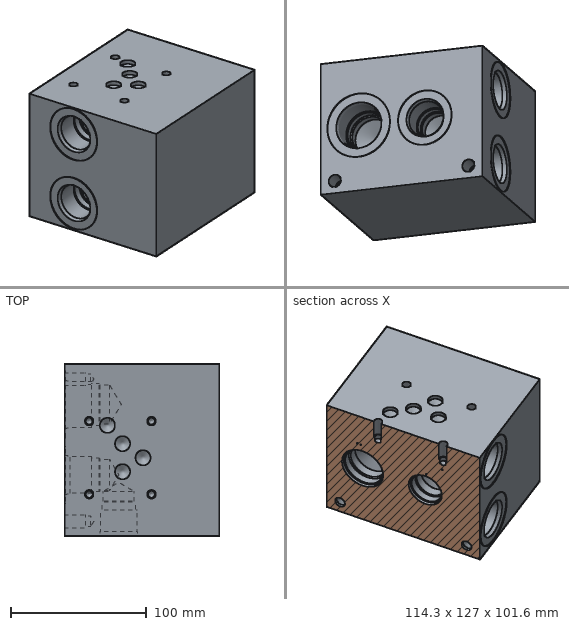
import cadquery as cq
import math

LENGTH_X = 114.3
LENGTH_Y = 127.0
HEIGHT = 101.6
LEFT = -LENGTH_X / 2
FRONT = -LENGTH_Y / 2

DRILL_POINT_ANGLE = 118.0

SPOTFACE_DEPTH = 0.6
SEAT_DEPTH = 3.0
THREAD_DEPTH = 19.5
TAP_DRILL_DEPTH = 25.4
FLOW_DRILL_DEPTH = 33.0
SMALL_PORT = {
    "spotface": 42.0,
    "seat_mouth": 29.2,
    "thread": 27.0,
    "tap_drill": 24.9,
    "flow_drill": 23.0,
}
LARGE_PORT = {
    "spotface": 49.1,
    "seat_mouth": 35.5,
    "thread": 33.8,
    "tap_drill": 31.2,
    "flow_drill": 28.8,
}

FRONT_PORT_X = LEFT + 39.8
FRONT_PORT_EDGE = 22.2
SIDE_PORT_Z = HEIGHT / 2
P_PORT_Y = FRONT + 45.3
T_PORT_Y = -FRONT - 29.7

MOUNT_DIAMETER = 9.5
MOUNT_DRILL = 7.9
MOUNT_THREAD_DEPTH = 15.2
MOUNT_DRILL_DEPTH = 19.0
MOUNT_EDGE_Y = 11.0
MOUNT_Z = 9.5

PATTERN_X = LEFT + 18.2
PATTERN_Y = -FRONT - 42.2
BOLT_SPACING_X = 46.0
BOLT_SPACING_Y = 54.0
BOLT_DIAMETER = 6.4
BOLT_DRILL = 5.1
BOLT_THREAD_DEPTH = 15.2
BOLT_DRILL_DEPTH = 19.0
VALVE_HOLE_DIAMETER = 11.2
VALVE_HOLE_DEPTH = 3.2
VALVE_HOLES = [(13.5, -3.2), (24.6, -16.6), (39.8, -27.0), (24.6, -37.3)]


def point_length(diameter):
    """Height of a drill point of the given diameter."""
    return diameter / 2 / math.tan(math.radians(DRILL_POINT_ANGLE / 2))


def drilled_cutter(steps):
    """Revolve (diameter, depth) steps about Z into a cutter going down from Z = 0, with a drill point."""
    drill_diameter, drill_depth = steps[-1]
    profile = cq.Workplane("XZ").moveTo(0, 0)
    for diameter, depth in steps:
        profile = profile.lineTo(diameter / 2, -depth)
    profile = profile.lineTo(0, -drill_depth - point_length(drill_diameter)).close()
    return profile.revolve(360, (0, 0, 0), (0, 1, 0))


def port_cutter(port):
    tap_point_end = TAP_DRILL_DEPTH + point_length(port["tap_drill"]) - point_length(port["flow_drill"])
    return drilled_cutter([
        (port["spotface"], 0),
        (port["spotface"], SPOTFACE_DEPTH),
        (port["seat_mouth"], SPOTFACE_DEPTH),
        (port["thread"], SPOTFACE_DEPTH + SEAT_DEPTH),
        (port["thread"], THREAD_DEPTH),
        (port["tap_drill"], THREAD_DEPTH),
        (port["tap_drill"], TAP_DRILL_DEPTH),
        (port["flow_drill"], tap_point_end),
        (port["flow_drill"], FLOW_DRILL_DEPTH),
    ])


def tapped_cutter(diameter, thread_depth, drill, drill_depth):
    return drilled_cutter([
        (diameter, 0),
        (diameter, thread_depth),
        (drill, thread_depth),
        (drill, drill_depth),
    ])


def on_front(cutter, x, z):
    return cutter.rotate((0, 0, 0), (1, 0, 0), 90).translate((x, FRONT, z))


def on_left(cutter, y, z):
    return cutter.rotate((0, 0, 0), (0, 1, 0), -90).translate((LEFT, y, z))


def on_top(cutter, x, y):
    return cutter.translate((x, y, HEIGHT))


result = cq.Workplane("XY").box(LENGTH_X, LENGTH_Y, HEIGHT, centered=(True, True, False))

small_port = port_cutter(SMALL_PORT)
for z in (FRONT_PORT_EDGE, HEIGHT - FRONT_PORT_EDGE):
    result = result.cut(on_front(small_port, FRONT_PORT_X, z))

result = result.cut(on_left(small_port, P_PORT_Y, SIDE_PORT_Z))
result = result.cut(on_left(port_cutter(LARGE_PORT), T_PORT_Y, SIDE_PORT_Z))

mount_hole = tapped_cutter(MOUNT_DIAMETER, MOUNT_THREAD_DEPTH, MOUNT_DRILL, MOUNT_DRILL_DEPTH)
for y in (FRONT + MOUNT_EDGE_Y, -FRONT - MOUNT_EDGE_Y):
    result = result.cut(on_left(mount_hole, y, MOUNT_Z))

bolt_hole = tapped_cutter(BOLT_DIAMETER, BOLT_THREAD_DEPTH, BOLT_DRILL, BOLT_DRILL_DEPTH)
for x in (PATTERN_X, PATTERN_X + BOLT_SPACING_X):
    for y in (PATTERN_Y, PATTERN_Y - BOLT_SPACING_Y):
        result = result.cut(on_top(bolt_hole, x, y))

valve_hole = drilled_cutter([(VALVE_HOLE_DIAMETER, 0), (VALVE_HOLE_DIAMETER, VALVE_HOLE_DEPTH)])
for offset_x, offset_y in VALVE_HOLES:
    result = result.cut(on_top(valve_hole, PATTERN_X + offset_x, PATTERN_Y + offset_y))